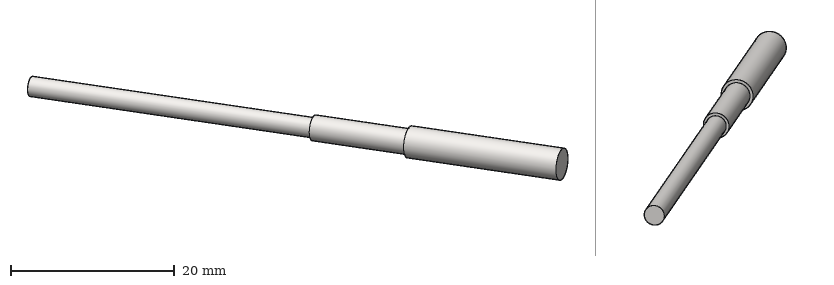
import cadquery as cq

total_length = 69.8
sleeve_length = 20.0
collar_length = 12.55
rod_length = total_length - collar_length - sleeve_length

rod_diameter = 2.5
collar_diameter = 3.2
sleeve_diameter = 4.0


def add_step(body, diameter, length):
    """Stack a coaxial cylinder on the +X end of the body."""
    return body.faces(">X").workplane().circle(diameter / 2).extrude(length)


result = cq.Workplane("YZ").circle(rod_diameter / 2).extrude(rod_length)
result = add_step(result, collar_diameter, collar_length)
result = add_step(result, sleeve_diameter, sleeve_length)